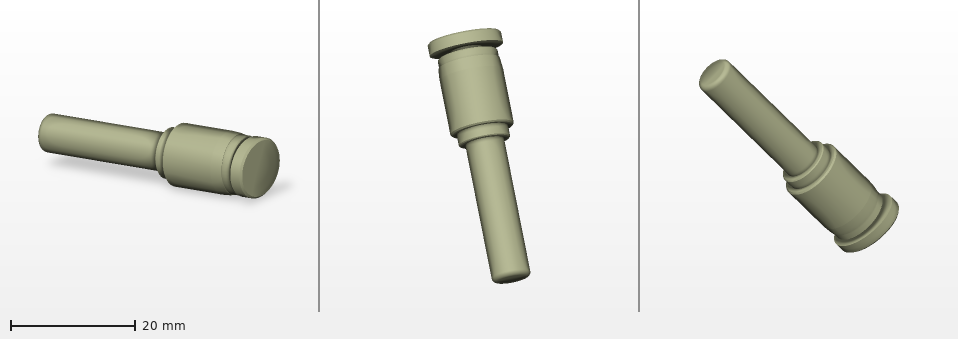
import cadquery as cq
import math

TOTAL_LENGTH = 40.6

PLUG_RADIUS = 6.35 / 2
PLUG_TIP_FILLET = 0.75
COLLAR_RADIUS = 8.4 / 2
COLLAR_START = 23.05
COLLAR_CHAMFER = 0.15
BARREL_RADIUS = 10.4 / 2
BARREL_START = 25.0
BARREL_CHAMFER = 0.25
CROWN_START = 34.25
CROWN_END = 36.2
CROWN_DROP = 0.2
NOSE_RADIUS = 9.8 / 2
NOSE_END = 37.68
NOSE_CHAMFER = 0.2

STEM_RADIUS = 5.2 / 2
FLANGE_START = 38.53
FLANGE_WIDTH = 12.0
FLANGE_HEIGHT = 2 * NOSE_RADIUS
FLANGE_CHAMFER = 0.32


def x_cylinder(start, end, radius):
    """Solid cylinder along X from start to end."""
    return cq.Workplane("YZ", origin=(start, 0, 0)).circle(radius).extrude(end - start)


def make_barrel():
    """Barrel with a chamfered rear edge and an arc, tangent to its side, that narrows its front."""
    crown_length = CROWN_END - CROWN_START
    arc_radius = (crown_length**2 + CROWN_DROP**2) / (2 * CROWN_DROP)
    half_length = crown_length / 2
    half_drop = arc_radius - math.sqrt(arc_radius**2 - half_length**2)
    return (
        cq.Workplane("XY")
        .moveTo(BARREL_START, 0)
        .lineTo(BARREL_START, BARREL_RADIUS - BARREL_CHAMFER)
        .lineTo(BARREL_START + BARREL_CHAMFER, BARREL_RADIUS)
        .lineTo(CROWN_START, BARREL_RADIUS)
        .threePointArc(
            (CROWN_START + half_length, BARREL_RADIUS - half_drop),
            (CROWN_END, BARREL_RADIUS - CROWN_DROP),
        )
        .lineTo(CROWN_END, 0)
        .close()
        .revolve(360, (0, 0, 0), (1, 0, 0))
    )


def make_fitting_body():
    """One-piece body: plug, collar, barrel and nose in line."""
    plug = x_cylinder(0, COLLAR_START, PLUG_RADIUS).faces("<X").edges().fillet(PLUG_TIP_FILLET)
    collar = x_cylinder(COLLAR_START, BARREL_START, COLLAR_RADIUS)
    collar = collar.faces("<X").edges().chamfer(COLLAR_CHAMFER)
    nose = x_cylinder(CROWN_END, NOSE_END, NOSE_RADIUS).faces(">X").edges().chamfer(NOSE_CHAMFER)
    return plug.union(collar).union(make_barrel()).union(nose)


def make_flange():
    """Elliptical plate, long axis along Y, with a chamfered outer end."""
    return (
        cq.Workplane("YZ", origin=(FLANGE_START, 0, 0))
        .ellipse(FLANGE_WIDTH / 2, FLANGE_HEIGHT / 2)
        .extrude(TOTAL_LENGTH - FLANGE_START)
        .faces(">X")
        .edges()
        .chamfer(FLANGE_CHAMFER)
    )


def make_release_button():
    """Elliptical flange on a stem that meets the nose face of the fitting body."""
    return x_cylinder(NOSE_END, FLANGE_START, STEM_RADIUS).union(make_flange())


fitting_body = make_fitting_body()
release_button = make_release_button()

result = cq.Compound.makeCompound([fitting_body.val(), release_button.val()])